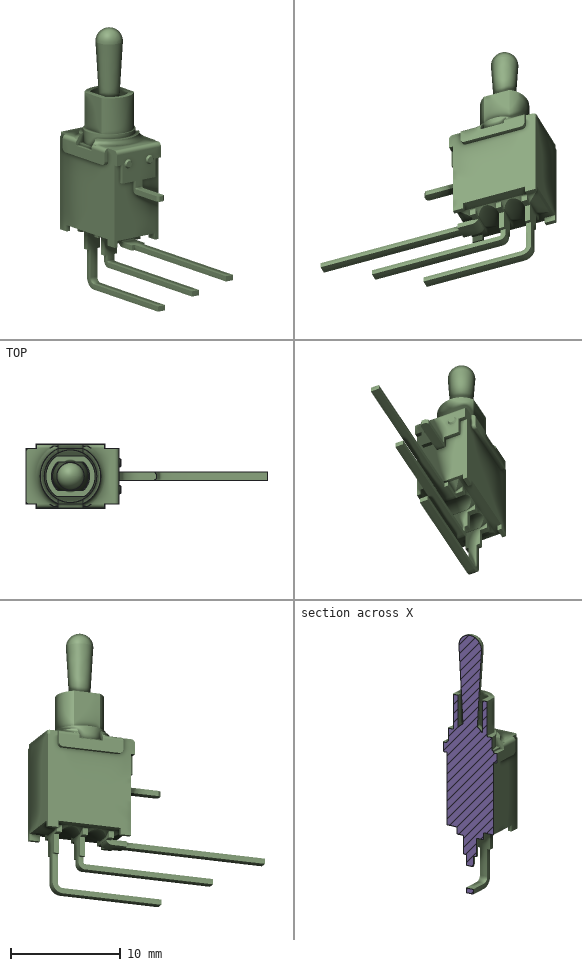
import cadquery as cq
import math


case_half_length = 4.08
case_half_depth = 2.55
case_height = 9.25
foot_height = 0.6
foot_gap_half_length = 3.07
foot_gap_half_depth = 2.17
corner_round = 0.25
corner_round_height = 0.38

side_flap_half_length = 3.15
side_flap_thickness = 0.4
side_flap_bottom = 7.65
side_flap_corner = 0.38
fold_radius = 0.38
end_flap_thickness = 0.38
end_flap_bottom = 7.83
end_tail_half_width = 1.9
end_tail_bottom = 6.07
bracket_lead_top = 5.31
bracket_lead_end = 7.85
bracket_lead_tip_length = 0.25
bracket_lead_tip_inset = 0.18
rivet_radius = 0.43
rivet_crown_radius = 0.3
rivet_height = 0.15
rivet_offset = 1.23
rivet_z = 7.85

collar_base_radius = 3.17
collar_top_radius = 2.77
collar_height = 0.45
slot_half_width = 1.15
slot_floor = 8.85
slot_flap_floor = 8.64

flange_diameter = 4.8
flange_top = 10.1
bushing_diameter = 4.5
bushing_top = 13.5
bushing_half_flats = 1.86
bore_diameter = 3.5
bore_half_flats = 1.3
bore_floor = 9.32

lever_tip_radius = 1.25
lever_top = 19.6
lever_ball_centre = lever_top - lever_tip_radius
lever_root_radius = 0.73
lever_pivot_radius = 1.69

lead_count = 3
lead_pitch = 2.55
lead_thickness = 0.5
lead_width = 0.8
lead_inner_bend = 0.13
lowest_lead_inner_bend = 0.5
lead_shoulder_half_width = 1.49
lead_shoulder_z = -0.08
lead_middle_half_width = 0.73
lead_middle_length = 1.81
lead_end_step = 2 * lead_pitch
lead_longest_end = 18.03
lead_lowest = -5.6

potting_half_depth_top = 1.55
potting_half_depth_bottom = 0.78
potting_bottom = 0.2
potting_half_length_top = 3.78
potting_half_length_bottom = 2.8
potting_arch_top = 0.58
potting_arch_half_width = 0.98


def block(x, y, z):
    """Box spanning the given (low, high) ranges."""
    size = [high - low for low, high in (x, y, z)]
    return cq.Workplane("XY").box(*size, centered=False).translate((x[0], y[0], z[0]))


def both_sides(half):
    """Symmetric range about zero."""
    return (-half, half)


def extrude_along_x(profile, half_length):
    return profile.extrude(half_length, both=True)


def make_case():
    case = block(both_sides(case_half_length), both_sides(case_half_depth), (0, case_height))
    case = case.cut(block(both_sides(foot_gap_half_length), both_sides(case_half_depth), (0, foot_height)))
    case = case.cut(block(both_sides(case_half_length), both_sides(foot_gap_half_depth), (0, foot_height)))
    round_bottom = case_height - corner_round_height
    left_range = (-case_half_length, corner_round - case_half_length)
    for side in (-1, 1):
        centre = (corner_round - case_half_length, side * (case_half_depth - corner_round))
        y_range = sorted((side * case_half_depth, centre[1]))
        post = cq.Workplane("XY", origin=(*centre, round_bottom)).circle(corner_round)
        case = case.cut(block(left_range, y_range, (round_bottom, case_height)))
        case = case.union(post.extrude(corner_round_height))
    return case


def make_side_flaps():
    outer = case_half_depth + side_flap_thickness
    flaps = block(both_sides(side_flap_half_length), both_sides(outer), (side_flap_bottom, case_height))
    flaps = flaps.edges("|Y and <Z").fillet(side_flap_corner)
    return flaps.edges("|X and >Z").fillet(fold_radius)


def make_end_flap():
    outer = case_half_length + end_flap_thickness
    flap = block((0, outer), both_sides(case_half_depth), (end_flap_bottom, case_height))
    flap = flap.edges("|Y and >X and >Z").fillet(fold_radius)
    tail_width = both_sides(end_tail_half_width)
    tail = block((case_half_length, outer), tail_width, (end_tail_bottom, end_flap_bottom))
    return flap.union(tail)


def make_rivet(y):
    """Tapered rivet head on the end flap, with its shank through the flap."""
    profile = (
        cq.Workplane("XY")
        .lineTo(end_flap_thickness + rivet_height, 0)
        .lineTo(end_flap_thickness + rivet_height, rivet_crown_radius)
        .lineTo(end_flap_thickness, rivet_radius)
        .lineTo(0, rivet_radius)
        .close()
    )
    return profile.revolve(360, (0, 0, 0), (1, 0, 0)).translate((case_half_length, y, rivet_z))


def make_collar():
    """Concave flared ring, sloped off where it passes over the side flaps."""
    top = case_height + collar_height
    width = collar_base_radius - collar_top_radius
    arc_share = 1 - math.sqrt(0.5)
    middle = (
        collar_top_radius + width * arc_share,
        case_height + collar_height * arc_share,
    )
    profile = (
        cq.Workplane("XZ")
        .moveTo(0, slot_floor)
        .lineTo(collar_base_radius, slot_floor)
        .lineTo(collar_base_radius, case_height)
        .threePointArc(middle, (collar_top_radius, top))
        .lineTo(0, top)
        .close()
    )
    collar = profile.revolve(360, (0, 0, 0), (0, 1, 0))
    outer = case_half_depth + side_flap_thickness
    slope = (
        cq.Workplane("YZ")
        .moveTo(-outer, slot_flap_floor)
        .lineTo(outer, slot_flap_floor)
        .lineTo(outer, slot_floor)
        .lineTo(case_half_depth, top)
        .lineTo(-case_half_depth, top)
        .lineTo(-outer, slot_floor)
        .close()
    )
    return collar.intersect(extrude_along_x(slope, collar_base_radius))


def cut_slot(body):
    outer = case_half_depth + side_flap_thickness
    top = case_height + collar_height
    body = body.cut(block(both_sides(slot_half_width), both_sides(outer), (slot_floor, top)))
    for y in ((-outer, -case_half_depth), (case_half_depth, outer)):
        body = body.cut(block(both_sides(slot_half_width), y, (slot_flap_floor, top)))
    return body


def double_flat_cylinder(diameter, half_flats, bottom, top):
    cylinder = cq.Workplane("XY", origin=(0, 0, bottom)).circle(diameter / 2).extrude(top - bottom)
    return cylinder.intersect(block(both_sides(diameter), both_sides(half_flats), (bottom, top)))


def make_bushing():
    flange = cq.Workplane("XY", origin=(0, 0, slot_floor)).circle(flange_diameter / 2)
    flange = flange.extrude(flange_top - slot_floor)
    barrel = double_flat_cylinder(bushing_diameter, bushing_half_flats, flange_top, bushing_top)
    bore = double_flat_cylinder(bore_diameter, bore_half_flats, bore_floor, bushing_top)
    return flange.union(barrel).cut(bore)


def make_lever():
    """Tapered bat with a round tip, standing on a pivot ball at the bottom of the bore."""
    profile = (
        cq.Workplane("XZ")
        .moveTo(0, bore_floor)
        .lineTo(lever_root_radius, bore_floor)
        .lineTo(lever_tip_radius, lever_ball_centre)
        .radiusArc((0, lever_top), -lever_tip_radius)
        .close()
    )
    lever = profile.revolve(360, (0, 0, 0), (0, 1, 0))
    ball = cq.Workplane("XY").sphere(lever_pivot_radius).translate((0, 0, bore_floor))
    socket = double_flat_cylinder(2 * lever_pivot_radius, bore_half_flats, bore_floor, bushing_top)
    return lever.union(ball.intersect(socket))


def bent_strip(start, corner, end, thickness_down, thickness_out, width, inner_radius):
    """L-shaped strip: down from (x, start), then out to x = end; corner is its lower outer corner."""
    x, z = corner
    strip = (
        cq.Workplane("XZ")
        .moveTo(x, start)
        .lineTo(x, z)
        .lineTo(end, z)
        .lineTo(end, z + thickness_out)
        .lineTo(x + thickness_down, z + thickness_out)
        .lineTo(x + thickness_down, start)
        .close()
        .extrude(width / 2, both=True)
    )
    outer_edge = cq.selectors.NearestToPointSelector((x, 0, z))
    inner_edge = cq.selectors.NearestToPointSelector((x + thickness_down, 0, z + thickness_out))
    strip = strip.edges(outer_edge).fillet(inner_radius + thickness_down)
    return strip.edges(inner_edge).fillet(inner_radius)


def make_bracket_lead():
    lead = bent_strip(
        end_tail_bottom,
        (case_half_length, bracket_lead_top - lead_thickness),
        bracket_lead_end,
        end_flap_thickness,
        lead_thickness,
        lead_width,
        lead_inner_bend,
    )
    tip = lead.faces(">X").edges("|Z")
    return tip.chamfer(bracket_lead_tip_length, bracket_lead_tip_inset)


def make_lead(row):
    """Lead of the given row; row 0 is the lowest and shortest, on the left."""
    x = (row - (lead_count - 1) / 2) * lead_pitch - lead_thickness / 2
    corner = (x, lead_lowest + row * lead_pitch)
    topmost_row = lead_count - 1
    end = lead_longest_end - (topmost_row - row) * lead_end_step
    bend = lowest_lead_inner_bend if row == 0 else lead_inner_bend
    strip_sizes = (lead_thickness, lead_thickness)
    lead = bent_strip(foot_height, corner, end, *strip_sizes, lead_width, bend)

    thickness_range = (x, x + lead_thickness)
    middle_range = both_sides(lead_middle_half_width)
    if row < topmost_row:
        root = block(thickness_range, middle_range, (lead_shoulder_z - lead_middle_length, foot_height))
    else:
        root_end = x + lead_thickness / 2 + lead_middle_length
        root = bent_strip(foot_height, corner, root_end, *strip_sizes, 2 * lead_middle_half_width, bend)
    shoulder_range = both_sides(lead_shoulder_half_width)
    shoulder = block(thickness_range, shoulder_range, (lead_shoulder_z, foot_height))
    return lead.union(root).union(shoulder)


def make_potting():
    """Sealing compound under the case, arched between neighbouring leads."""
    section = (
        cq.Workplane("YZ")
        .moveTo(-potting_half_depth_top, foot_height)
        .lineTo(-potting_half_depth_bottom, potting_bottom)
        .lineTo(potting_half_depth_bottom, potting_bottom)
        .lineTo(potting_half_depth_top, foot_height)
        .close()
    )
    profile = (
        cq.Workplane("XZ")
        .moveTo(-potting_half_length_top, foot_height)
        .lineTo(-potting_half_length_bottom, potting_bottom)
        .lineTo(potting_half_length_bottom, potting_bottom)
        .lineTo(potting_half_length_top, foot_height)
        .close()
        .extrude(potting_half_depth_top, both=True)
    )
    potting = extrude_along_x(section, potting_half_length_top).intersect(profile)
    for centre in both_sides(lead_pitch / 2):
        arch = (
            cq.Workplane("XZ")
            .moveTo(centre - potting_arch_half_width, potting_bottom)
            .threePointArc((centre, potting_arch_top), (centre + potting_arch_half_width, potting_bottom))
            .close()
            .extrude(potting_half_depth_top, both=True)
        )
        potting = potting.cut(arch)
    return potting


body = make_case().union(make_side_flaps()).union(make_end_flap()).union(make_collar())
body = cut_slot(body).union(make_bushing()).union(make_lever())
body = body.union(make_bracket_lead()).union(make_potting())
for rivet_y in both_sides(rivet_offset):
    body = body.union(make_rivet(rivet_y))
for lead_row in range(lead_count):
    body = body.union(make_lead(lead_row))
result = body